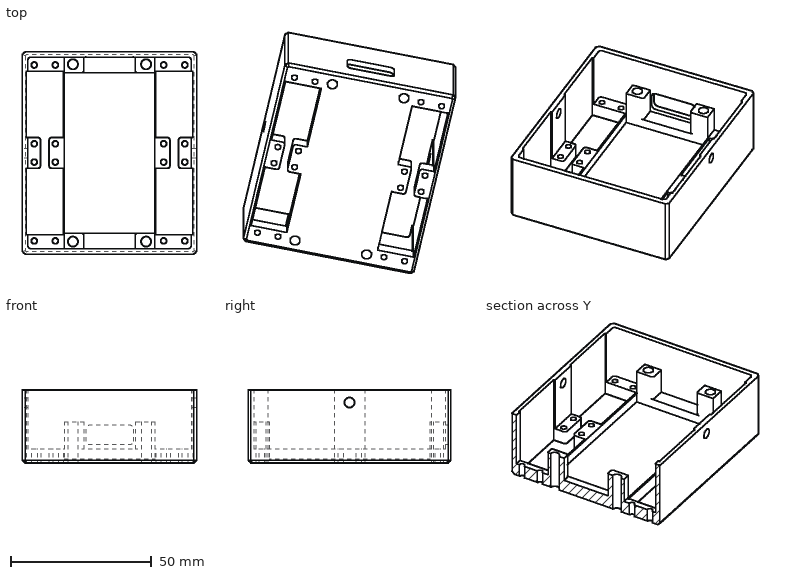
import cadquery as cq

LENGTH_X = 62.0
LENGTH_Y = 72.0
HEIGHT = 26.0
WALL = 2.0
EDGE_CHAMFER = 1.0
CAVITY_CORNER_RADIUS = 1.0
HALF_CAVITY_X = LENGTH_X / 2 - WALL
HALF_CAVITY_Y = LENGTH_Y / 2 - WALL

FLOOR_TOP = 1.6
POCKET_DEPTH = 3.5
BASE_TOP = FLOOR_TOP + POCKET_DEPTH

HALF_POCKET_X = 16.0
HALF_POCKET_Y = 28.5
POCKET_WALL = 0.5

OPENING_INNER_X = HALF_POCKET_X + POCKET_WALL
WALL_RELIEF = 0.5
OPENING_OUTER_X = HALF_CAVITY_X + WALL_RELIEF
OPENING_END_Y = 29.0

HALF_TAB_Y = 5.5
INNER_TAB_END_X = 21.5
TAB_GAP = 3.0
OUTER_TAB_END_X = INNER_TAB_END_X + TAB_GAP
TAB_CORNER_RADIUS = 1.0
SELECTION_MARGIN = 0.5

SCREW_DIAMETER = 2.0
SCREW_X = (19.25, 26.75)
SCREW_Y = (3.25, 31.25)

POST_HEIGHT = 9.5
POST_TOP = BASE_TOP + POST_HEIGHT
POST_INNER_X = 9.1
POST_CORNER_RADIUS = 0.8
POST_HOLE_DIAMETER = 3.5
POST_HOLE_X = 13.0
POST_HOLE_Y = 31.5

CROSS_HOLE_DIAMETER = 3.5
CROSS_HOLE_Z = 21.5

WINDOW_WIDTH = 17.0
WINDOW_HEIGHT = 7.0
WINDOW_SILL = 1.5
WINDOW_BOTTOM = BASE_TOP + WINDOW_SILL
WINDOW_TOP = WINDOW_BOTTOM + WINDOW_HEIGHT
WINDOW_CORNER_RADIUS = 1.5

SIDES = (-1, 1)


def box_between(x_range, y_range, z_range):
    """Box spanning the given coordinate ranges, each in either order."""
    spans = [sorted(span) for span in (x_range, y_range, z_range)]
    sizes = [high - low for low, high in spans]
    corner = tuple(low for low, high in spans)
    return cq.Workplane("XY").box(*sizes, centered=False).translate(corner)


def make_shell():
    """Open box with chamfered outer edges, solid up to the base level."""
    shell = cq.Workplane("XY").box(LENGTH_X, LENGTH_Y, HEIGHT, centered=(True, True, False))
    shell = shell.edges("|Z").chamfer(EDGE_CHAMFER)
    shell = shell.faces("<Z").edges().chamfer(EDGE_CHAMFER)
    cavity = (
        cq.Workplane("XY")
        .workplane(offset=BASE_TOP)
        .rect(2 * HALF_CAVITY_X, 2 * HALF_CAVITY_Y)
        .extrude(HEIGHT - BASE_TOP)
        .edges("|Z")
        .fillet(CAVITY_CORNER_RADIUS)
    )
    return shell.cut(cavity)


def cut_pocket(body):
    """Sink the centre of the base to the floor, leaving a ledge at each end."""
    pocket = box_between(
        (-HALF_POCKET_X, HALF_POCKET_X), (-HALF_POCKET_Y, HALF_POCKET_Y), (FLOOR_TOP, BASE_TOP)
    )
    return body.cut(pocket)


def make_side_opening(side):
    """Two windows with wall relief above them, joined by the slot between the tabs."""
    opening = box_between(
        (side * INNER_TAB_END_X, side * OUTER_TAB_END_X), (-OPENING_END_Y, OPENING_END_Y), (0, BASE_TOP)
    )
    for end in SIDES:
        window = box_between(
            (side * OPENING_INNER_X, side * OPENING_OUTER_X),
            (end * HALF_TAB_Y, end * OPENING_END_Y),
            (0, BASE_TOP),
        )
        opening = opening.union(window)
    tab_corners = cq.selectors.BoxSelector(
        (side * (INNER_TAB_END_X - SELECTION_MARGIN), -HALF_TAB_Y - SELECTION_MARGIN, 0),
        (side * (OUTER_TAB_END_X + SELECTION_MARGIN), HALF_TAB_Y + SELECTION_MARGIN, BASE_TOP),
    )
    opening = opening.edges("|Z").edges(tab_corners).fillet(TAB_CORNER_RADIUS)
    for end in SIDES:
        relief = box_between(
            (side * HALF_CAVITY_X, side * OPENING_OUTER_X),
            (end * HALF_TAB_Y, end * OPENING_END_Y),
            (0, HEIGHT),
        )
        opening = opening.union(relief)
    return opening


def make_post(side, end):
    """Square post against an end wall with its free corner rounded."""
    post = box_between(
        (side * POST_INNER_X, side * HALF_POCKET_X),
        (end * HALF_POCKET_Y, end * HALF_CAVITY_Y),
        (BASE_TOP, POST_TOP),
    )
    free_corner = cq.selectors.NearestToPointSelector(
        (side * POST_INNER_X, end * HALF_POCKET_Y, (BASE_TOP + POST_TOP) / 2)
    )
    return post.edges("|Z").edges(free_corner).fillet(POST_CORNER_RADIUS)


def cut_vertical_holes(body, diameter, x_places, y_places):
    """Through holes mirrored into all four quadrants."""
    centers = [(sx * x, sy * y) for x in x_places for y in y_places for sx in SIDES for sy in SIDES]
    holes = cq.Workplane("XY").pushPoints(centers).circle(diameter / 2).extrude(HEIGHT)
    return body.cut(holes)


def cut_cross_hole(body):
    """Hole along X through both side walls."""
    hole = (
        cq.Workplane("YZ")
        .center(0, CROSS_HOLE_Z)
        .circle(CROSS_HOLE_DIAMETER / 2)
        .extrude(LENGTH_X / 2, both=True)
    )
    return body.cut(hole)


def cut_connector_window(body):
    """Rounded rectangular window through the +Y wall."""
    window = box_between(
        (-WINDOW_WIDTH / 2, WINDOW_WIDTH / 2),
        (HALF_CAVITY_Y, LENGTH_Y / 2),
        (WINDOW_BOTTOM, WINDOW_TOP),
    )
    return body.cut(window.edges("|Y").fillet(WINDOW_CORNER_RADIUS))


body = cut_pocket(make_shell())
for side in SIDES:
    body = body.cut(make_side_opening(side))
    for end in SIDES:
        body = body.union(make_post(side, end))
body = cut_vertical_holes(body, SCREW_DIAMETER, SCREW_X, SCREW_Y)
body = cut_vertical_holes(body, POST_HOLE_DIAMETER, (POST_HOLE_X,), (POST_HOLE_Y,))
body = cut_cross_hole(body)
result = cut_connector_window(body)